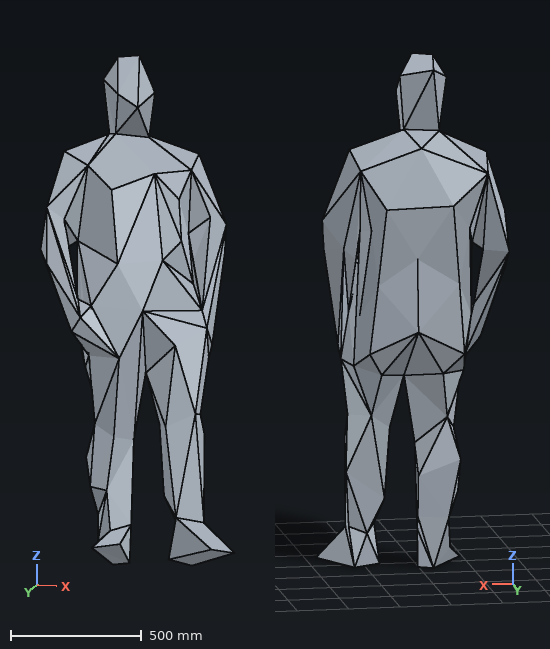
import cadquery as cq

HEIGHT = 1972.0
HALF_SPAN = 360.0
BACK_Y = 203.0
BELLY_Y = -201.0
SOLE_Z = 4.0
R_SHOULDER_X = -211.0
R_SHOULDER_Z = 1516.0

head_points = {
    "r_crown": (-80.0, -53.0, HEIGHT),
    "l_crown": (-5.0, -95.0, HEIGHT),
    "head_back": (-53.0, 120.0, 1946.0),
    "r_temple": (-126.0, -4.0, 1893.0),
    "l_temple": (67.0, 57.0, 1917.0),
    "r_cheek": (-95.0, -106.0, 1806.0),
    "l_cheek": (55.0, -97.0, 1828.0),
    "nose": (-28.0, -150.0, 1745.0),
    "r_throat": (-83.0, -25.0, 1672.0),
    "l_throat": (50.0, -30.0, 1666.0),
    "r_nape": (-87.0, 55.0, 1695.0),
    "l_nape": (51.0, 55.0, 1705.0),
}

torso_points = {
    "upper_back": (-4.0, 135.0, 1645.0),
    "r_shoulder_top": (-282.0, -5.0, 1595.0),
    "l_shoulder_top": (250.0, -15.0, 1621.0),
    "l_shoulder_front": (195.0, -108.0, 1525.0),
    "r_shoulder_back": (-265.0, 126.0, 1536.0),
    "l_shoulder_back": (227.0, 103.0, 1558.0),
    "breastbone": (37.0, -155.0, 1485.0),
    "r_chest": (-138.0, -175.0, 1402.0),
    "l_chest": (132.0, -162.0, 1388.0),
    "l_ribs": (148.0, -140.0, 1229.0),
    "r_underarm": (-223.0, 8.0, 1245.0),
    "l_underarm": (210.0, -12.0, 1302.0),
    "r_waist": (-112.0, -170.0, 1110.0),
    "navel": (57.0, BELLY_Y, 1128.0),
    "l_flank": (219.0, -47.0, 1090.0),
    "r_hip": (-201.0, -108.0, 955.0),
    "l_hip": (233.0, -128.0, 962.0),
    "groin": (-18.0, -185.0, 925.0),
    "crotch": (34.0, -40.0, 724.0),
    "r_blade": (-116.0, BACK_Y, 1430.0),
    "l_blade": (140.0, 183.0, 1420.0),
    "r_back_side": (-190.0, 145.0, 1330.0),
    "l_back_side": (190.0, 128.0, 1330.0),
    "spine": (20.0, 180.0, 1223.0),
    "r_loin": (-148.0, 155.0, 1115.0),
    "l_loin": (168.0, 148.0, 1115.0),
    "r_hip_side": (-205.0, 90.0, 982.0),
    "l_hip_side": (223.0, 60.0, 986.0),
    "tailbone": (20.0, 201.0, 940.0),
    "r_buttock": (-168.0, 155.0, 840.0),
    "l_buttock": (197.0, 138.0, 848.0),
    "r_thigh_top_back": (-89.0, 132.0, 761.0),
    "l_thigh_top_back": (148.0, 118.0, 761.0),
}

arm_points = {
    "r_elbow_outer": (-359.0, -37.0, 1357.0),
    "l_elbow_outer": (353.0, -37.0, 1340.0),
    "r_elbow_front": (-294.0, -55.0, 1307.0),
    "l_elbow_front": (278.0, -79.0, 1350.0),
    "r_elbow_back": (-HALF_SPAN, 50.0, 1210.0),
    "l_elbow_back": (280.0, 32.0, 1242.0),
    "r_elbow_inner": (-260.0, 40.0, 1220.0),
    "l_elbow_inner": (220.0, -35.0, 1183.0),
    "r_forearm": (-359.0, -37.0, 1130.0),
    "l_forearm": (343.0, -51.0, 1223.0),
    "r_wrist": (-245.0, -77.0, 986.0),
    "r_thumb": (-245.0, -110.0, 903.0),
    "l_thumb": (245.0, -154.0, 885.0),
    "r_knuckle": (-268.0, -65.0, 858.0),
    "l_knuckle": (278.0, -108.0, 835.0),
    "r_fingers": (-193.0, -43.0, 775.0),
    "l_fingers": (272.0, -79.0, 789.0),
    "r_palm_back": (-183.0, 50.0, 755.0),
    "l_palm_back": (247.0, 60.0, 789.0),
}

right_leg_points = {
    "r_thigh": (-95.0, -125.0, 747.0),
    "r_knee_front": (-87.0, -14.0, 465.0),
    "r_knee_inner": (5.0, 35.0, 475.0),
    "r_knee_outer": (-142.0, 63.0, 536.0),
    "r_knee_back": (-105.0, 130.0, 592.0),
    "r_calf_outer": (-154.0, 150.0, 428.0),
    "r_calf_inner": (15.0, 177.0, 375.0),
    "r_shin_outer": (-155.0, 79.0, 290.0),
    "r_shin_front": (-108.0, 10.0, 258.0),
    "r_ankle_inner": (-4.0, 37.0, 138.0),
    "r_ankle_front": (-97.0, 2.0, 97.0),
    "r_ankle_outer": (-126.0, 75.0, 71.0),
    "r_ankle_back": (-108.0, 142.0, 200.0),
    "r_tendon": (15.0, 164.0, 213.0),
    "r_toe_outer": (-187.0, -61.0, SOLE_Z),
    "r_toe_inner": (-95.0, -136.0, SOLE_Z),
    "r_heel": (-50.0, 142.0, SOLE_Z),
    "r_heel_inner": (4.0, 90.0, 0.0),
}

left_leg_points = {
    "l_thigh": (116.0, -165.0, 803.0),
    "l_knee_front": (201.0, -145.0, 542.0),
    "l_knee_inner": (99.0, -89.0, 499.0),
    "l_knee_side": (260.0, 0.0, 588.0),
    "l_shin_side": (260.0, -60.0, 491.0),
    "l_knee_back_inner": (90.0, -25.0, 525.0),
    "l_knee_back": (177.0, 60.0, 592.0),
    "l_calf_outer": (280.0, 79.0, 379.0),
    "l_calf_inner": (118.0, 14.0, 256.0),
    "l_ankle_inner": (144.0, -71.0, 145.0),
    "l_ankle_outer": (258.0, -60.0, 138.0),
    "l_ankle_back_inner": (191.0, 40.0, 128.0),
    "l_ankle_back_outer": (262.0, 40.0, 158.0),
    "l_toe_inner": (262.0, -154.0, SOLE_Z),
    "l_toe_outer": (HALF_SPAN, -130.0, SOLE_Z),
    "l_heel_inner": (138.0, 20.0, SOLE_Z),
    "l_heel_outer": (247.0, 79.0, SOLE_Z),
}

points = {**head_points, **torso_points, **arm_points, **right_leg_points, **left_leg_points}


def point_on_plane(x, z, corners):
    """The point with this X and Z on the plane through three named corners."""
    first, second, third = [cq.Vector(*points[name]) for name in corners.split()]
    normal = (second - first).cross(third - first)
    y = first.y - (normal.x * (x - first.x) + normal.z * (z - first.z)) / normal.y
    return (x, y, z)


points["r_shoulder_front"] = point_on_plane(R_SHOULDER_X, R_SHOULDER_Z, "r_throat breastbone r_chest")


def fan(apex, rim):
    """Triangles from the apex to each pair of neighbouring points along the rim."""
    names = rim.split()
    return [(apex, first, second) for first, second in zip(names, names[1:])]


def head_facets():
    return (
        fan("r_temple", "head_back r_nape r_throat r_cheek r_crown head_back")
        + fan("l_crown", "l_temple head_back r_crown r_cheek nose l_cheek l_temple")
        + fan("nose", "r_cheek r_throat l_throat l_cheek")
        + fan("l_temple", "l_cheek l_throat l_nape head_back")
        + fan("head_back", "l_nape r_nape")
    )


def front_facets():
    return (
        [("breastbone", "r_throat", "r_shoulder_front", "r_chest")]
        + fan("breastbone", "r_chest r_waist navel l_ribs l_chest l_shoulder_front l_throat r_throat")
        + fan("r_underarm", "r_shoulder_front r_chest")
        + fan("r_waist", "r_chest r_underarm r_hip groin navel")
        + fan("l_underarm", "l_shoulder_front l_chest l_ribs l_flank")
        + fan("navel", "l_ribs l_flank l_hip groin")
    )


def shoulder_and_back_facets(side):
    """One shoulder, upper arm and half of the back, down to the buttock."""
    s = side
    return (
        fan(f"{s}_nape", f"{s}_throat {s}_shoulder_front {s}_shoulder_top {s}_shoulder_back upper_back")
        + fan(f"{s}_elbow_outer", f"{s}_elbow_front {s}_shoulder_front {s}_shoulder_top {s}_shoulder_back")
        + fan(f"{s}_elbow_outer", f"{s}_shoulder_back {s}_elbow_back {s}_forearm {s}_thumb")
        + fan(f"{s}_elbow_front", f"{s}_shoulder_front {s}_underarm {s}_elbow_inner")
        + fan(f"{s}_shoulder_back", f"{s}_elbow_back {s}_elbow_inner {s}_underarm {s}_back_side")
        + fan(f"{s}_shoulder_back", f"{s}_back_side {s}_blade upper_back")
        + fan(f"{s}_back_side", f"{s}_underarm {s}_hip_side {s}_loin {s}_blade")
        + fan(f"{s}_loin", f"{s}_blade spine tailbone {s}_buttock")
        + fan(f"{s}_buttock", f"{s}_palm_back {s}_hip_side {s}_loin")
        + fan(f"{s}_buttock", f"tailbone {s}_thigh_top_back {s}_palm_back")
        + fan(f"{s}_palm_back", f"{s}_hip_side {s}_underarm")
        + fan("tailbone", f"{s}_thigh_top_back crotch")
        + fan(f"{s}_forearm", f"{s}_elbow_back {s}_knuckle {s}_thumb")
        + fan(f"{s}_elbow_back", f"{s}_knuckle {s}_fingers")
    )


def spine_facets():
    return fan("upper_back", "r_nape l_nape") + fan("l_blade", "upper_back r_blade spine")


def right_hand_facets():
    """The wrist and hand, joined to the hip below the gap beside the waist."""
    return (
        fan("r_wrist", "r_thumb r_elbow_outer r_elbow_front r_elbow_inner r_elbow_back")
        + fan("r_wrist", "r_elbow_back r_fingers r_hip r_thumb")
        + fan("r_underarm", "r_palm_back r_fingers r_hip")
        + fan("r_thigh", "groin r_hip r_thumb r_knuckle r_fingers r_knee_outer")
    )


def left_hand_facets():
    """The hand, resting on the hip and the side of the thigh."""
    return (
        fan("l_hip", "l_thumb l_elbow_outer l_elbow_front l_elbow_inner l_elbow_back l_fingers l_palm_back")
        + fan("l_hip", "l_palm_back l_underarm l_flank")
        + fan("l_thumb", "l_hip groin l_thigh l_knee_front l_fingers l_knuckle")
    )


def right_leg_facets():
    return (
        fan("r_knee_inner", "crotch groin r_thigh r_knee_front r_shin_front r_ankle_inner r_calf_inner")
        + fan("r_knee_inner", "r_calf_inner r_knee_back crotch")
        + fan("r_knee_outer", "r_thigh r_knee_front r_shin_outer r_calf_outer r_knee_back r_fingers")
        + fan("r_knee_back", "r_fingers r_palm_back r_thigh_top_back crotch")
        + fan("r_knee_back", "r_calf_outer r_calf_inner")
        + fan("r_shin_front", "r_knee_front r_shin_outer r_ankle_back r_ankle_outer r_ankle_front")
        + fan("r_shin_front", "r_ankle_front r_ankle_inner")
        + fan("r_ankle_back", "r_shin_outer r_calf_outer r_calf_inner r_tendon r_heel")
        + fan("r_ankle_back", "r_heel r_ankle_outer")
        + fan("r_ankle_inner", "r_calf_inner r_tendon r_heel r_heel_inner r_toe_inner r_ankle_front")
        + fan("r_toe_outer", "r_heel r_ankle_outer r_ankle_front r_toe_inner r_heel_inner r_heel")
    )


def left_leg_facets():
    return (
        fan("l_thigh", "groin crotch l_knee_inner l_knee_front")
        + fan("l_knee_inner", "crotch l_knee_back_inner l_calf_inner l_ankle_inner l_knee_front")
        + fan("l_knee_front", "l_fingers l_knee_side l_shin_side l_ankle_outer l_ankle_inner")
        + fan("l_knee_back", "l_knee_side l_fingers l_palm_back l_thigh_top_back crotch")
        + fan("l_knee_back", "crotch l_knee_back_inner l_calf_inner l_calf_outer l_knee_side")
        + fan("l_shin_side", "l_knee_side l_calf_outer l_ankle_back_outer l_ankle_outer")
        + fan("l_ankle_back_inner", "l_ankle_inner l_calf_inner l_calf_outer l_ankle_back_outer")
        + fan("l_ankle_back_inner", "l_ankle_back_outer l_heel_outer l_heel_inner l_ankle_inner")
        + fan("l_ankle_outer", "l_ankle_back_outer l_heel_outer l_toe_outer l_toe_inner l_ankle_inner")
        + fan("l_toe_inner", "l_ankle_inner l_heel_inner l_heel_outer l_toe_outer")
    )


def solid_from_facets(facets):
    """Closes the solid bounded by flat facets, each given by the names of its corners."""
    faces = []
    for corners in facets:
        outline = cq.Wire.makePolygon([cq.Vector(*points[name]) for name in corners], close=True)
        faces.append(cq.Face.makeFromWires(outline))
    return cq.Solid.makeSolid(cq.Shell.makeShell(faces))


facets = (
    head_facets()
    + front_facets()
    + shoulder_and_back_facets("r")
    + shoulder_and_back_facets("l")
    + spine_facets()
    + right_hand_facets()
    + left_hand_facets()
    + right_leg_facets()
    + left_leg_facets()
)

result = cq.Workplane(obj=solid_from_facets(facets))